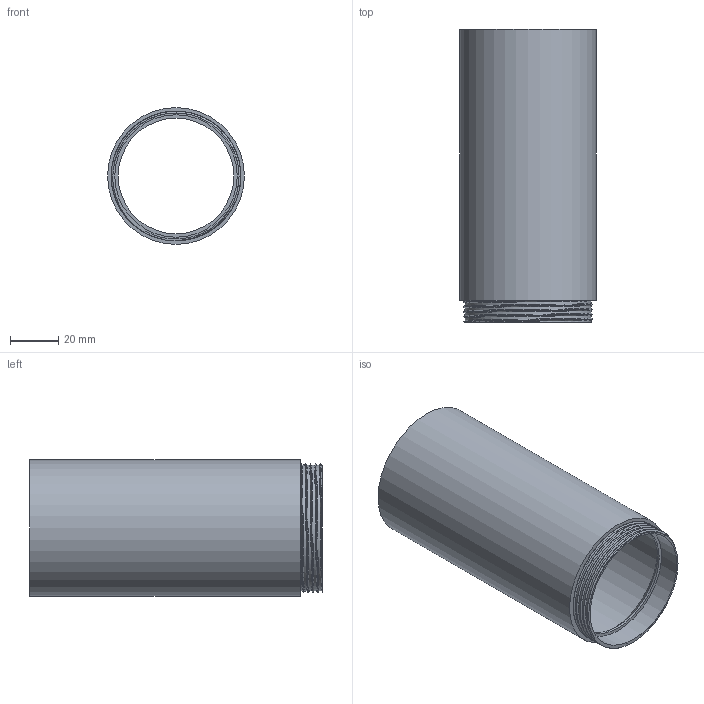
import cadquery as cq

overall_length = 121.5
body_diameter = 56.8
neck_length = 9.1

thread_root_diameter = 52.3
thread_crest_diameter = 53.8
thread_pitch = 2.0
thread_base_width = 1.0
thread_crest_width = 0.1
thread_root_overlap = 0.15
thread_first_crest = -0.6

mouth_diameter = 50.8
mouth_depth = 8.9
lip_diameter = 48.0
lip_length = 1.0
bore_diameter = 53.6

neck_end_y = -overall_length / 2
far_end_y = overall_length / 2
shoulder_y = neck_end_y + neck_length


def make_blank():
    """Revolved tube without the thread."""
    body_radius = body_diameter / 2
    root_radius = thread_root_diameter / 2
    mouth_radius = mouth_diameter / 2
    lip_radius = lip_diameter / 2
    bore_radius = bore_diameter / 2
    lip_front_y = neck_end_y + mouth_depth
    lip_back_y = lip_front_y + lip_length
    flare_end_y = lip_back_y + bore_radius - lip_radius
    half_section = [
        (mouth_radius, neck_end_y),
        (root_radius, neck_end_y),
        (root_radius, shoulder_y),
        (body_radius, shoulder_y),
        (body_radius, far_end_y),
        (bore_radius, far_end_y),
        (bore_radius, flare_end_y),
        (lip_radius, lip_back_y),
        (lip_radius, lip_front_y),
        (mouth_radius, lip_front_y),
    ]
    return cq.Workplane("XY").polyline(half_section).close().revolve(360, (0, 0, 0), (0, 1, 0))


def make_thread():
    """Helical ridge of trapezoidal section, trimmed flush with the ends of the neck."""
    inner_radius = thread_root_diameter / 2 - thread_root_overlap
    crest_radius = thread_crest_diameter / 2
    half_base = thread_base_width / 2
    half_crest = thread_crest_width / 2
    ridge_section = [
        (inner_radius, -half_base),
        (crest_radius, -half_crest),
        (crest_radius, half_crest),
        (inner_radius, half_base),
    ]
    helix_length = neck_length + thread_pitch
    helix = cq.Workplane(cq.Wire.makeHelix(thread_pitch, helix_length, inner_radius))
    ridge = cq.Workplane("XZ").polyline(ridge_section).close().sweep(helix, isFrenet=True)
    ridge = ridge.rotate((0, 0, 0), (1, 0, 0), -90)
    ridge = ridge.translate((0, neck_end_y + thread_first_crest, 0))
    neck_zone = (
        cq.Workplane("XZ", origin=(0, neck_end_y, 0))
        .circle(body_diameter / 2)
        .extrude(-neck_length)
    )
    return ridge.intersect(neck_zone)


result = make_blank().union(make_thread())